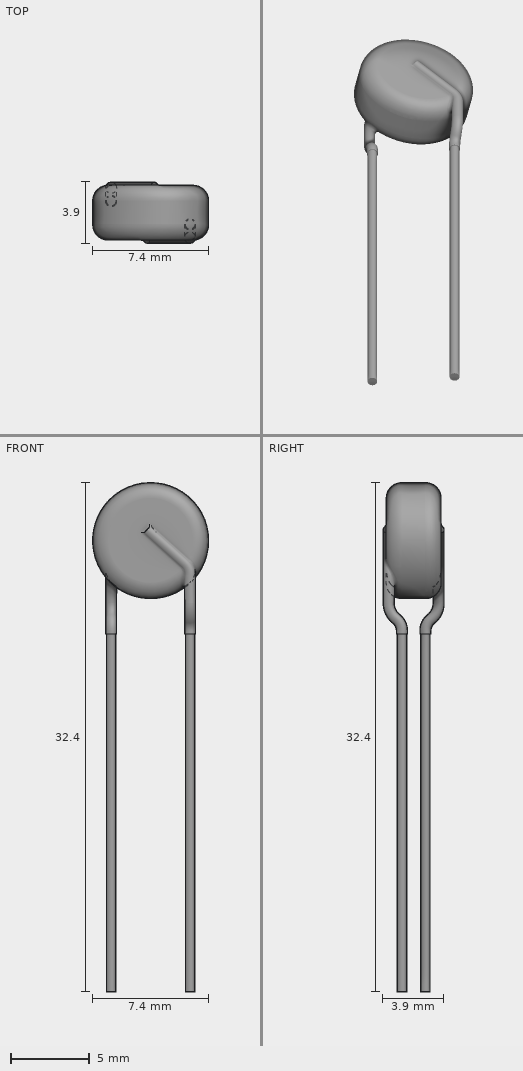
import cadquery as cq
import math

total_height = 32.4
disc_diameter = 7.4
disc_thickness = 3.5
disc_edge_radius = 1.0

wire_diameter = 0.6
coated_diameter = 0.7
meniscus_radius = 0.15
overall_depth = 3.9
lead_spacing = 5.02
wire_y = 0.75

foot_z = disc_diameter / 2 - total_height
coating_end_z = -5.93
jog_bottom_z = -5.75
jog_top_z = -4.0
elbow_start_z = -2.2
jog_lower_share = 0.43

elbow_radius = 0.97
elbow_angle = math.radians(48)
tip_x = -0.23

lead_x = lead_spacing / 2
coated_y = (overall_depth - coated_diameter) / 2


def make_disc():
    disc = (
        cq.Workplane("XZ", origin=(0, disc_thickness / 2, 0))
        .circle(disc_diameter / 2)
        .extrude(disc_thickness)
    )
    return disc.edges().fillet(disc_edge_radius)


def make_bare_wire():
    """Straight wire from the foot up to the end of the coating."""
    return (
        cq.Workplane("XY", origin=(lead_x, -wire_y, foot_z))
        .circle(wire_diameter / 2)
        .extrude(coating_end_z - foot_z)
    )


def make_coated_jog():
    """Coated lead that steps outwards from the bare wire to the disc face."""
    jog_middle_y = -(wire_y + jog_lower_share * (coated_y - wire_y))
    jog_middle_z = jog_bottom_z + jog_lower_share * (jog_top_z - jog_bottom_z)
    path = (
        cq.Workplane("YZ", origin=(lead_x, 0, 0))
        .moveTo(-wire_y, coating_end_z)
        .lineTo(-wire_y, jog_bottom_z)
        .tangentArcPoint((jog_middle_y, jog_middle_z), relative=False)
        .tangentArcPoint((-coated_y, jog_top_z), relative=False)
        .lineTo(-coated_y, elbow_start_z)
    )
    section = cq.Workplane("XY", origin=(lead_x, -wire_y, coating_end_z)).circle(coated_diameter / 2)
    return section.sweep(path)


def make_coated_elbow():
    """Coated lead that bends over the disc face and ends near its centre."""
    bend_end_x = lead_x - elbow_radius * (1 - math.cos(elbow_angle))
    bend_end_z = elbow_start_z + elbow_radius * math.sin(elbow_angle)
    tip_z = bend_end_z + (bend_end_x - tip_x) / math.tan(elbow_angle)
    path = (
        cq.Workplane("XZ", origin=(0, -coated_y, 0))
        .moveTo(lead_x, elbow_start_z)
        .radiusArc((bend_end_x, bend_end_z), -elbow_radius)
        .lineTo(tip_x, tip_z)
    )
    section = cq.Workplane("XY", origin=(lead_x, -coated_y, elbow_start_z)).circle(coated_diameter / 2)
    return section.sweep(path)


def touches(body, edge):
    """True if points sampled along the edge all lie on or inside the body."""
    tolerance = 0.0003
    sample_positions = (0.2, 0.5, 0.8)
    points = [cq.Vertex.makeVertex(*edge.positionAt(t).toTuple()) for t in sample_positions]
    return all(body.distance(point) < tolerance for point in points)


def join_lead(body, disc, lead):
    """Add a lead to the body and fillet the seam where it meets the disc."""
    joined = body.union(lead)
    seam = [
        edge for edge in joined.edges().vals()
        if touches(disc.val(), edge) and touches(lead.val(), edge)
    ]
    return joined.newObject(seam).fillet(meniscus_radius)


plain_disc = make_disc()
front_lead = make_bare_wire().union(make_coated_jog()).union(make_coated_elbow())

result = plain_disc
for turn in (0, 180):
    turned_lead = front_lead.rotate((0, 0, 0), (0, 0, 1), turn)
    result = join_lead(result, plain_disc, turned_lead)